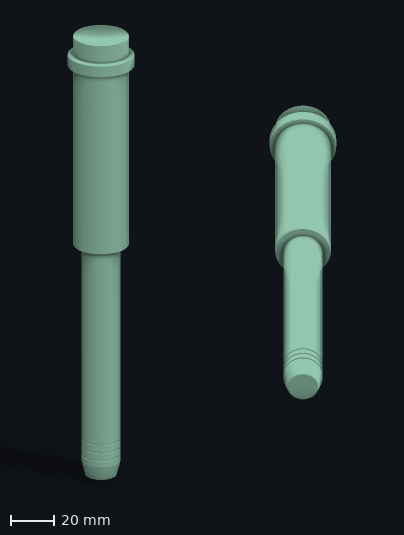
import cadquery as cq

total_length = 220.0
body_diameter = 26.0
collar_diameter = 31.0
shank_diameter = 18.0

head_length = 9.2
collar_thickness = 6.2
shank_length = 115.0

rim_chamfer = 0.5

relief_width = 0.9
relief_depth = 0.2

groove_count = 3
groove_pitch = 4.0
groove_width = 0.9
groove_depth = 0.5
lowest_groove_height = 10.5

tip_diameter = 14.3
tip_fillet = 0.7
lead_in_length = 7.3
lead_in_bulge = 0.1

collar_top = total_length - head_length
collar_bottom = collar_top - collar_thickness
body_length = total_length - shank_length


def cylinder(diameter, bottom, length):
    """Cylinder on the Z axis starting at height bottom."""
    return cq.Workplane("XY").workplane(offset=bottom).circle(diameter / 2).extrude(length)


def ring_groove(diameter, depth, bottom, width):
    """Ring that removes a square groove from a cylinder of the given diameter."""
    floor_diameter = diameter - 2 * depth
    return cylinder(diameter, bottom, width).cut(cylinder(floor_diameter, bottom, width))


def relief(diameter, bottom):
    """Ring that removes a shallow relief groove next to a shoulder."""
    return ring_groove(diameter, relief_depth, bottom, relief_width)


def make_shank():
    """Grooved shank with a lead-in that narrows to the rounded tip."""
    shank_radius = shank_diameter / 2
    tip_radius = tip_diameter / 2
    arc_middle = ((shank_radius + tip_radius) / 2 + lead_in_bulge, lead_in_length / 2)
    shank = (
        cq.Workplane("XZ")
        .lineTo(tip_radius, 0)
        .threePointArc(arc_middle, (shank_radius, lead_in_length))
        .lineTo(shank_radius, shank_length)
        .lineTo(0, shank_length)
        .close()
        .revolve(360, (0, 0, 0), (0, 1, 0))
        .faces("<Z")
        .fillet(tip_fillet)
    )
    for index in range(groove_count):
        bottom = lowest_groove_height - groove_width / 2 + index * groove_pitch
        shank = shank.cut(ring_groove(shank_diameter, groove_depth, bottom, groove_width))
    return shank.cut(relief(shank_diameter, shank_length - relief_width))


def make_body():
    """Thick upper cylinder, chamfered at both ends and relieved next to the collar."""
    body = cylinder(body_diameter, shank_length, body_length).edges("%CIRCLE").chamfer(rim_chamfer)
    for bottom in (collar_top, collar_bottom - relief_width):
        body = body.cut(relief(body_diameter, bottom))
    return body


def make_collar():
    """Collar with a small chamfer on its two rims."""
    collar = cylinder(collar_diameter, collar_bottom, collar_thickness)
    return collar.edges("%CIRCLE").chamfer(rim_chamfer)


result = make_body().union(make_collar()).union(make_shank())